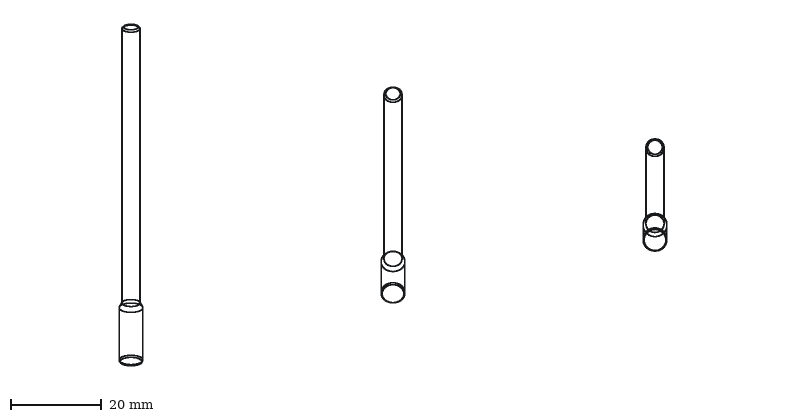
import cadquery as cq

total_length = 80.0
shank_diameter = 4.0
head_diameter = 5.3

head_length = 14.0
shoulder_length = 1.1

shank_chamfer = 0.4
head_chamfer_width = 0.2
head_chamfer_height = 0.4

shank_radius = shank_diameter / 2
head_radius = head_diameter / 2
shank_length = total_length - head_length
shoulder_start = head_length - shoulder_length


def make_head():
    """Cylindrical head, chamfered at the bottom and tapering to the shank at the top."""
    profile = (
        cq.Workplane("XZ")
        .moveTo(0, 0)
        .lineTo(head_radius - head_chamfer_width, 0)
        .lineTo(head_radius, head_chamfer_height)
        .lineTo(head_radius, shoulder_start)
        .lineTo(shank_radius, head_length)
        .lineTo(0, head_length)
        .close()
    )
    return profile.revolve(360, (0, 0, 0), (0, 1, 0))


def make_shank():
    """Plain round shank standing on the head, chamfered at its free end."""
    return (
        cq.Workplane("XY")
        .workplane(offset=head_length)
        .circle(shank_radius)
        .extrude(shank_length)
        .faces(">Z")
        .chamfer(shank_chamfer)
    )


head = make_head()
shank = make_shank()

result = cq.Compound.makeCompound([head.val(), shank.val()])